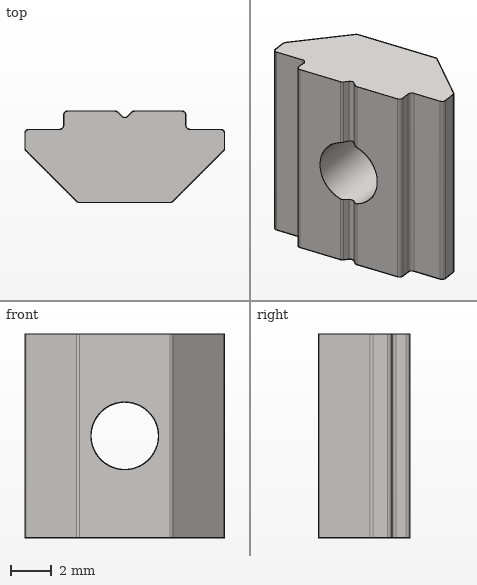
import cadquery as cq

width = 9.8
thickness = 4.5
length = 10.0

rail_width = 6.0
rail_height = 0.9
shoulder_height = 1.0
corner_radius = 0.2

groove_sharp_depth = 0.4
groove_radius = 0.2

hole_diameter = 3.3

top_y = thickness / 2
base_y = -thickness / 2
shoulder_y = top_y - rail_height
flank_y = shoulder_y - shoulder_height

half_width = width / 2
half_rail = rail_width / 2
half_base = half_width - (flank_y - base_y)


def make_body():
    """Extrude the T-shaped section with tapered flanks and round its corners."""
    right_side = [
        (half_base, base_y),
        (half_width, flank_y),
        (half_width, shoulder_y),
        (half_rail, shoulder_y),
        (half_rail, top_y),
    ]
    left_side = [(-x, y) for x, y in reversed(right_side)]
    section = cq.Workplane("XY").polyline(right_side + left_side).close()
    body = section.extrude(length / 2, both=True)
    return body.edges("|Z").fillet(corner_radius)


def cut_groove(body):
    """Cut the V groove, then round its bottom and both rims."""
    groove = (
        cq.Workplane("XY")
        .moveTo(-groove_sharp_depth, top_y)
        .lineTo(0, top_y - groove_sharp_depth)
        .lineTo(groove_sharp_depth, top_y)
        .close()
        .extrude(length / 2, both=True)
    )
    grooved = body.cut(groove)
    search_reach = groove_sharp_depth + corner_radius
    groove_edges = cq.selectors.BoxSelector(
        (-search_reach, top_y - search_reach, -length),
        (search_reach, top_y + search_reach, length),
    )
    return grooved.edges("|Z").edges(groove_edges).fillet(groove_radius)


def cut_hole(body):
    """Drill the plain through hole along Y at the middle of the part."""
    drill = cq.Workplane("XZ").circle(hole_diameter / 2).extrude(thickness, both=True)
    return body.cut(drill)


result = cut_hole(cut_groove(make_body()))